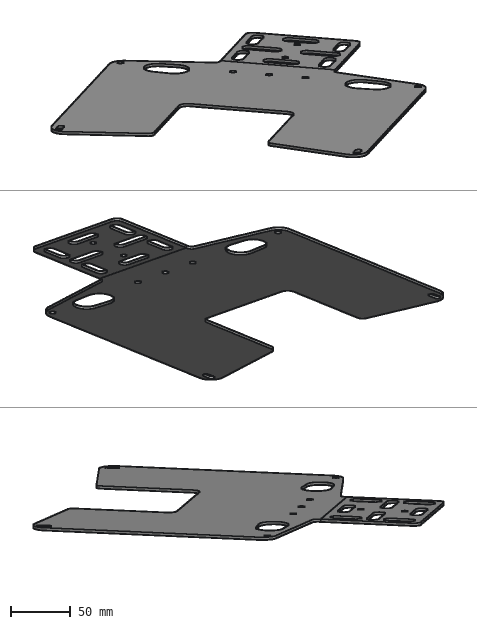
import cadquery as cq
import math

thickness = 2.5
overall_length = 315
body_width = 275.0
head_width = 99.5
head_length = 84.7
hole_diameter = 5.5

shoulder_y = -5.7
edge_angle = math.radians(11)
edge_slope = math.tan(edge_angle)
notch_top_y = -125.3
outer_corner_radius = 12.5
notch_corner_radius = 7.5
neck_radius = 5.0
tip_radius = 5.0
hole_row_y = -27.7
hole_row_pitch = 31.5
corner_hole_x = 129.5
corner_slot_length = 12.3
corner_slot_y = -220.0

hand_hole_y = -33.5
hand_hole_outer_x = 95.5
hand_hole_outer_radius = 11.5
hand_hole_inner_x = 81.0
hand_hole_inner_radius = 12.5

head_corner_radius = 6.0
head_hole_diameter = 5.0
slot_width = 10.0
pattern_y = 42.2
side_slot_x = 37.8
side_slot_offset_y = 23.0
side_slot_length = 26.8
middle_slot_x = 25.5
middle_slot_length = 34.0
end_slot_offset_y = 31.2
end_slot_length = 31.0
head_hole_offset_y = 19


def through_holes(points, diameter):
    return cq.Workplane().pushPoints(points).circle(diameter / 2).extrude(thickness)


def through_slots(points, length, width, angle=0):
    return cq.Workplane().pushPoints(points).slot2D(length, width, angle).extrude(thickness)


def hand_hole(side):
    """Cutter with two unequal round ends joined by their common tangents."""
    spacing = hand_hole_outer_x - hand_hole_inner_x
    sine = (hand_hole_inner_radius - hand_hole_outer_radius) / spacing
    cosine = math.sqrt(1 - sine**2)
    outer_tangent_x = hand_hole_outer_x + hand_hole_outer_radius * sine
    outer_tangent_y = hand_hole_outer_radius * cosine
    inner_tangent_x = hand_hole_inner_x + hand_hole_inner_radius * sine
    inner_tangent_y = hand_hole_inner_radius * cosine
    return (
        cq.Workplane(origin=(0, hand_hole_y, 0))
        .moveTo(side * inner_tangent_x, inner_tangent_y)
        .lineTo(side * outer_tangent_x, outer_tangent_y)
        .threePointArc(
            (side * (hand_hole_outer_x + hand_hole_outer_radius), 0),
            (side * outer_tangent_x, -outer_tangent_y),
        )
        .lineTo(side * inner_tangent_x, -inner_tangent_y)
        .threePointArc(
            (side * (hand_hole_inner_x - hand_hole_inner_radius), 0),
            (side * inner_tangent_x, inner_tangent_y),
        )
        .close()
        .extrude(thickness)
    )


def round_corner_pair(plate, x, y, radius):
    """Fillet the upright edges at (x, y) and (-x, y)."""
    for side in (-1, 1):
        corner = cq.selectors.NearestToPointSelector((side * x, y, thickness / 2))
        plate = plate.edges("|Z").edges(corner).fillet(radius)
    return plate


def make_body_plate():
    half_body = body_width / 2
    half_head = head_width / 2
    outer_top_y = shoulder_y - edge_slope * (half_body - half_head)
    rounding_loss = outer_corner_radius * (edge_slope + 1 / math.cos(edge_angle) - 1)
    outer_bottom_y = head_length - overall_length - rounding_loss
    tip_y = outer_bottom_y + edge_slope * (half_body - half_head)
    right_edge = [
        (half_head, 0),
        (half_head, shoulder_y),
        (half_body, outer_top_y),
        (half_body, outer_bottom_y),
        (half_head, tip_y),
        (half_head, notch_top_y),
    ]
    left_edge = [(-x, y) for x, y in reversed(right_edge)]
    plate = cq.Workplane().polyline(right_edge + left_edge).close().extrude(thickness)

    plate = round_corner_pair(plate, half_head, shoulder_y, neck_radius)
    plate = round_corner_pair(plate, half_body, outer_top_y, outer_corner_radius)
    plate = round_corner_pair(plate, half_body, outer_bottom_y, outer_corner_radius)
    plate = round_corner_pair(plate, half_head, tip_y, tip_radius)
    plate = round_corner_pair(plate, half_head, notch_top_y, notch_corner_radius)

    hole_xs = (-corner_hole_x, -hole_row_pitch, 0, hole_row_pitch, corner_hole_x)
    plate = plate.cut(through_holes([(x, hole_row_y) for x in hole_xs], hole_diameter))
    corner_slots = [(side * corner_hole_x, corner_slot_y) for side in (-1, 1)]
    plate = plate.cut(through_slots(corner_slots, corner_slot_length, hole_diameter, 90))
    for side in (-1, 1):
        plate = plate.cut(hand_hole(side))
    return plate


def make_head_plate():
    plate = cq.Workplane().rect(head_width, head_length).extrude(thickness)
    plate = plate.translate((0, head_length / 2, 0))
    plate = plate.edges("|Z and >Y").fillet(head_corner_radius)

    side_slots = [
        (x, pattern_y + y)
        for x in (-side_slot_x, side_slot_x)
        for y in (-side_slot_offset_y, side_slot_offset_y)
    ]
    middle_slots = [(x, pattern_y) for x in (-middle_slot_x, middle_slot_x)]
    end_slots = [(0, pattern_y + y) for y in (-end_slot_offset_y, end_slot_offset_y)]
    holes = [(0, pattern_y + y) for y in (-head_hole_offset_y, head_hole_offset_y)]
    plate = plate.cut(through_slots(side_slots, side_slot_length, slot_width, 90))
    plate = plate.cut(through_slots(middle_slots, middle_slot_length, slot_width))
    plate = plate.cut(through_slots(end_slots, end_slot_length, slot_width))
    return plate.cut(through_holes(holes, head_hole_diameter))


body_plate = make_body_plate()
head_plate = make_head_plate()

result = cq.Compound.makeCompound([body_plate.solids().val(), head_plate.solids().val()])